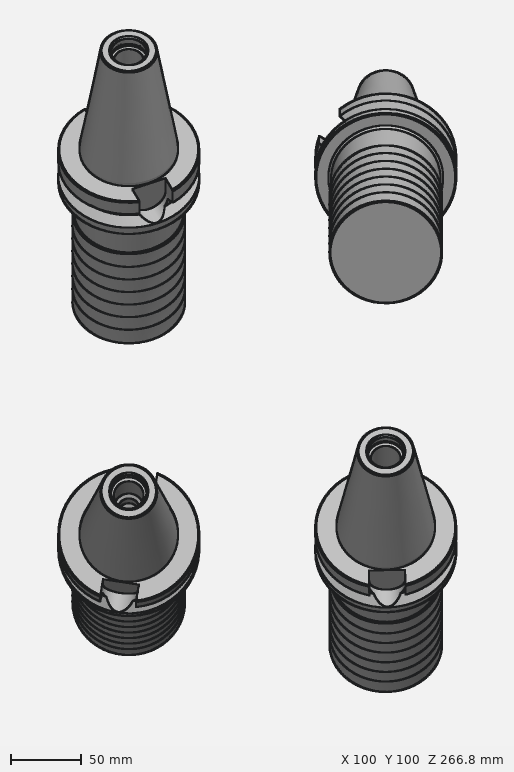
import cadquery as cq
import math

total_height = 266.8
cutter_height = 96.0
flange_bottom = 127.3
flange_top = 162.0
gauge_height = 165.0

cutter_radius = 80.0 / 2
cutter_chamfer = 0.8
row_relief = 0.13
row_pitch = 13.3
step_count = 6
first_step_height = 15.2

neck_radius = 77.6 / 2
neck_flare = 2.0
flange_radius = 100.0 / 2
flange_chamfer = 0.8

groove_radius = 84.5 / 2
groove_lower_edge = 134.7
groove_floor_bottom = 139.3
groove_floor_top = 144.5
groove_upper_edge = 149.1

taper_radius = 70.0 / 2
taper_ratio = 7 / 24
taper_tip_radius = taper_radius - (total_height - gauge_height) * taper_ratio / 2
tip_chamfer = 0.8

bore_chamfer = 1.3
entry_radius = 25.0 / 2
entry_depth = 7.0
relief_radius = 27.0 / 2
relief_depth = 10.1
thread_radius = 21.0 / 2
thread_depth = 40.0
drill_radius = 15.0 / 2
drill_depth = 53.4
drill_tip_slope = math.tan(math.radians(30))

slot_width = 25.5
slot_floor = 135.0
slot_inner_distance = 35.5
slot_angles = (144.0, 324.0)


def revolve_profile(points):
    """Revolve a closed (radius, height) outline around Z."""
    return cq.Workplane("XZ").polyline(points).close().revolve(360, (0, 0, 0), (0, 1, 0))


def make_cutter():
    """Stack of slightly tapered rows, each narrowing upward to a fine step."""
    row_steps = []
    for i in range(step_count):
        height = first_step_height + i * row_pitch
        row_steps.append((cutter_radius - row_relief, height))
        row_steps.append((cutter_radius, height))
    return revolve_profile([
        (0, 0),
        (cutter_radius - cutter_chamfer, 0),
        (cutter_radius, cutter_chamfer),
        *row_steps,
        (cutter_radius - row_relief, cutter_height - cutter_chamfer),
        (cutter_radius - row_relief - cutter_chamfer, cutter_height),
        (0, cutter_height),
    ])


def make_holder_blank():
    """Neck, grooved flange and taper as one turned shape."""
    return revolve_profile([
        (0, cutter_height),
        (neck_radius, cutter_height),
        (neck_radius, flange_bottom - neck_flare),
        (neck_radius + neck_flare, flange_bottom),
        (flange_radius - flange_chamfer, flange_bottom),
        (flange_radius, flange_bottom + flange_chamfer),
        (flange_radius, groove_lower_edge),
        (groove_radius, groove_floor_bottom),
        (groove_radius, groove_floor_top),
        (flange_radius, groove_upper_edge),
        (flange_radius, flange_top - flange_chamfer),
        (flange_radius - flange_chamfer, flange_top),
        (taper_radius, flange_top),
        (taper_radius, gauge_height),
        (taper_tip_radius + tip_chamfer * taper_ratio / 2, total_height - tip_chamfer),
        (taper_tip_radius - tip_chamfer, total_height),
        (0, total_height),
    ])


def make_bore():
    """Stepped bore with a relief groove, a conical step and a drill-point bottom."""
    thread_floor = total_height - thread_depth
    drill_floor = total_height - drill_depth
    step_height = (thread_radius - drill_radius) * drill_tip_slope
    return revolve_profile([
        (0, total_height),
        (entry_radius + bore_chamfer, total_height),
        (entry_radius, total_height - bore_chamfer),
        (entry_radius, total_height - entry_depth),
        (relief_radius, total_height - entry_depth),
        (relief_radius, total_height - relief_depth),
        (thread_radius, total_height - relief_depth),
        (thread_radius, thread_floor),
        (drill_radius, thread_floor - step_height),
        (drill_radius, drill_floor),
        (0, drill_floor - drill_radius * drill_tip_slope),
    ])


def make_slot(angle):
    """Radial drive slot, open upward and outward, at the given angle about Z."""
    half_width = slot_width / 2
    straight_bottom = slot_floor + half_width
    return (
        cq.Workplane("YZ", origin=(slot_inner_distance, 0, 0))
        .moveTo(-half_width, flange_top)
        .lineTo(-half_width, straight_bottom)
        .threePointArc((0, slot_floor), (half_width, straight_bottom))
        .lineTo(half_width, flange_top)
        .close()
        .extrude(flange_radius)
        .rotate((0, 0, 0), (0, 0, 1), angle)
    )


cutter = make_cutter()

holder = make_holder_blank().cut(make_bore())
for slot_angle in slot_angles:
    holder = holder.cut(make_slot(slot_angle))

result = cq.Compound.makeCompound([holder.val(), cutter.val()])